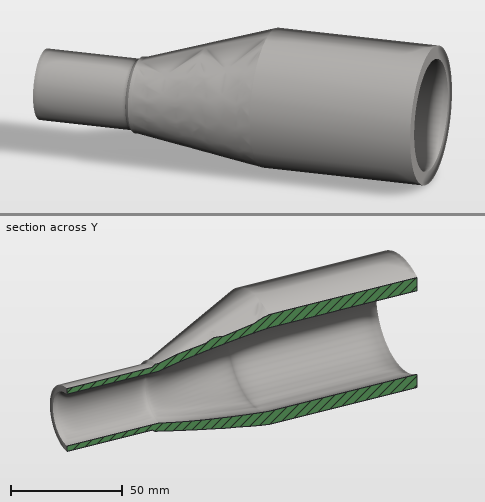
import cadquery as cq

total_length = 177.0
large_radius = 31.5
large_bore_radius = 25.5
spigot_radius = 16.1
spigot_bore_radius = 13.1
collar_radius = 17.3

spigot_end = 43.2
collar_start = 44.8
cone_start = 46.5
cone_end = 102.0

spigot_offset = collar_radius - large_radius


def cylinder(x_start, x_end, y_center, radius):
    """Cylinder along X between two stations."""
    plane = cq.Workplane("YZ", origin=(x_start, y_center, 0))
    return plane.circle(radius).extrude(x_end - x_start)


def transition(x_start, x_end, y_start, y_end, start_radius, end_radius):
    """Straight-sided loft between two circles, which may be offset in Y."""
    return (
        cq.Workplane("YZ", origin=(x_start, y_start, 0))
        .circle(start_radius)
        .workplane(offset=x_end - x_start)
        .center(y_end - y_start, 0)
        .circle(end_radius)
        .loft(ruled=True)
    )


spigot = cylinder(0, spigot_end, spigot_offset, spigot_radius)
collar_bevel = transition(
    spigot_end, collar_start, spigot_offset, spigot_offset, spigot_radius, collar_radius
)
collar = cylinder(collar_start, cone_start, spigot_offset, collar_radius)
cone = transition(cone_start, cone_end, spigot_offset, 0, collar_radius, large_radius)
large_pipe = cylinder(cone_end, total_length, 0, large_radius)
body = spigot.union(collar_bevel).union(collar).union(cone).union(large_pipe)

spigot_bore = cylinder(0, cone_start, spigot_offset, spigot_bore_radius)
cone_bore = transition(
    cone_start, cone_end, spigot_offset, 0, spigot_bore_radius, large_bore_radius
)
large_bore = cylinder(cone_end, total_length, 0, large_bore_radius)

result = body.cut(spigot_bore).cut(cone_bore).cut(large_bore)